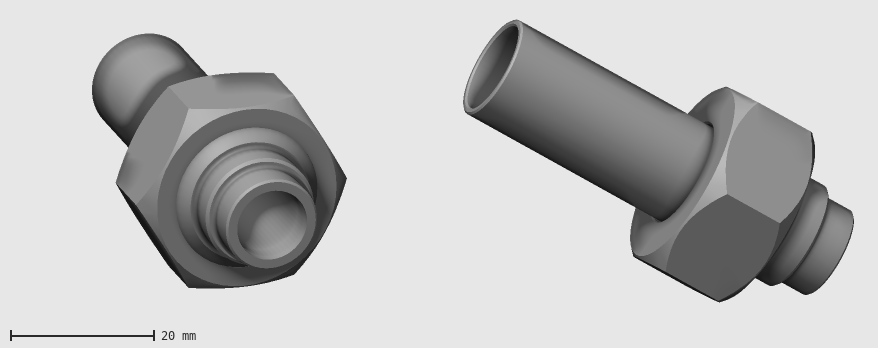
import cadquery as cq
import math

total_length = 56.5
nut_start = 32.0
nut_length = 13.5
nut_end = nut_start + nut_length
nut_lip_length = 4.0
joint_position = nut_start + nut_lip_length

tube_dia = 15.0
tube_bore_dia = 13.0
tube_end_chamfer = 0.25

across_flats = 27.0
across_corners = across_flats / math.cos(math.pi / 6)
hex_face_dia = 26.5
nut_hole_dia = 15.5
nut_hole_chamfer = 0.25

shoulder_dia = 20.9
cone_front_dia = 17.65
cone_end = 47.0
collar_dia = 16.0
collar_root_fillet = 0.5
collar_end = 51.5
collar_end_chamfer = 0.4
spigot_dia = 13.5
spigot_root_fillet = 0.5
spigot_end_chamfer = 0.3
fitting_bore_dia = 10.3
bore_entry_dia = 12.0


def revolve_about_x(profile):
    return profile.revolve(360, (0, 0, 0), (1, 0, 0))


def add_root_fillet(profile, wall_x, shaft_radius, fillet_radius):
    """Continue a profile down a wall and through a concave arc onto the shaft to its right."""
    middle_offset = fillet_radius * (1 - math.sqrt(0.5))
    return (
        profile
        .lineTo(wall_x, shaft_radius + fillet_radius)
        .threePointArc(
            (wall_x + middle_offset, shaft_radius + middle_offset),
            (wall_x + fillet_radius, shaft_radius),
        )
    )


def make_tube():
    outer_radius = tube_dia / 2
    bore_radius = tube_bore_dia / 2
    profile = (
        cq.Workplane("XY")
        .moveTo(0, bore_radius + tube_end_chamfer)
        .lineTo(0, outer_radius - tube_end_chamfer)
        .lineTo(tube_end_chamfer, outer_radius)
        .lineTo(joint_position, outer_radius)
        .lineTo(joint_position, bore_radius)
        .lineTo(tube_end_chamfer, bore_radius)
        .close()
    )
    return revolve_about_x(profile)


def make_nut():
    hexagon = (
        cq.Workplane("YZ", origin=(nut_start, 0, 0))
        .polygon(6, across_corners)
        .extrude(nut_length)
    )

    corner_chamfer = (across_corners - hex_face_dia) / 2
    corner_envelope = (
        cq.Workplane("YZ", origin=(nut_start, 0, 0))
        .circle(across_corners / 2)
        .extrude(nut_length)
        .edges()
        .chamfer(corner_chamfer)
    )

    hole_radius = nut_hole_dia / 2
    shoulder_radius = shoulder_dia / 2
    opening = revolve_about_x(
        cq.Workplane("XY")
        .moveTo(nut_start, 0)
        .lineTo(nut_start, hole_radius + nut_hole_chamfer)
        .lineTo(nut_start + nut_hole_chamfer, hole_radius)
        .lineTo(joint_position, hole_radius)
        .lineTo(joint_position, shoulder_radius)
        .lineTo(nut_end, shoulder_radius)
        .lineTo(nut_end, 0)
        .close()
    )
    return hexagon.intersect(corner_envelope).cut(opening)


def make_fitting():
    shoulder_radius = shoulder_dia / 2
    cone_front_radius = cone_front_dia / 2
    collar_radius = collar_dia / 2
    spigot_radius = spigot_dia / 2
    bore_radius = fitting_bore_dia / 2
    bore_entry_radius = bore_entry_dia / 2
    cone_length = shoulder_radius - cone_front_radius

    profile = (
        cq.Workplane("XY")
        .moveTo(joint_position, bore_entry_radius)
        .lineTo(joint_position, shoulder_radius)
        .lineTo(cone_end - cone_length, shoulder_radius)
        .lineTo(cone_end, cone_front_radius)
    )
    profile = add_root_fillet(profile, cone_end, collar_radius, collar_root_fillet)
    profile = (
        profile
        .lineTo(collar_end - collar_end_chamfer, collar_radius)
        .lineTo(collar_end, collar_radius - collar_end_chamfer)
    )
    profile = add_root_fillet(profile, collar_end, spigot_radius, spigot_root_fillet)
    profile = (
        profile
        .lineTo(total_length - spigot_end_chamfer, spigot_radius)
        .lineTo(total_length, spigot_radius - spigot_end_chamfer)
        .lineTo(total_length, bore_radius)
        .lineTo(joint_position + bore_entry_radius - bore_radius, bore_radius)
        .close()
    )
    return revolve_about_x(profile)


tube = make_tube()
nut = make_nut()
fitting = make_fitting()

result = cq.Compound.makeCompound([tube.val(), nut.val(), fitting.val()])